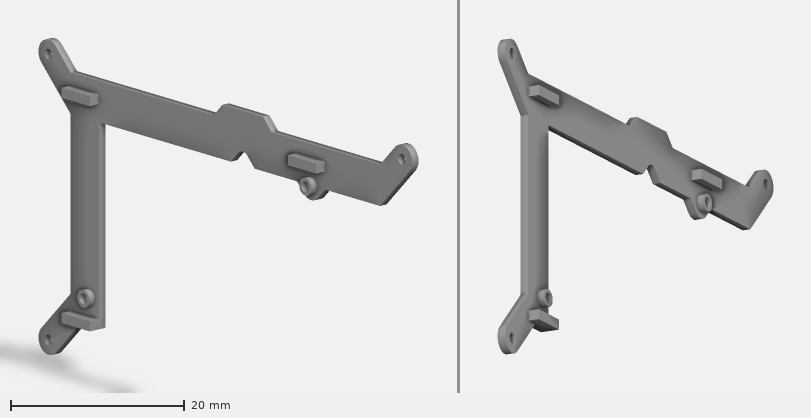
import cadquery as cq
import math


LENGTH_X = 65.39
HEIGHT_Z = 37.69
DEPTH_Y = 2.4
PLATE_THICKNESS = 1.0
LUG_RADIUS = 1.75
LUG_HOLE_DIAMETER = 1.3

HOLE_SPAN_X = LENGTH_X - 2 * LUG_RADIUS
HOLE_SPAN_Z = HEIGHT_Z - 2 * LUG_RADIUS
MOUNTING_HOLES = [(0, 0), (HOLE_SPAN_X, 0), (0, -HOLE_SPAN_Z)]

LUG_TANGENT = LUG_RADIUS / math.sqrt(2)
ARM_HALF_SPAN = LUG_RADIUS * math.sqrt(2)
BAR_TOP = -1.4
BAR_BOTTOM = BAR_TOP - 2 * ARM_HALF_SPAN
COLUMN_LEFT = ARM_HALF_SPAN - BAR_TOP
COLUMN_WIDTH = 4.95
COLUMN_RIGHT = COLUMN_LEFT + COLUMN_WIDTH
COLUMN_BOTTOM = -31.1
BAR_RIGHT = HOLE_SPAN_X - COLUMN_LEFT

STEP_CENTRE_X = 34.0
STEP_TOP_WIDTH = 7.1
STEP_HEIGHT = 1.55
NOTCH_HALF_WIDTH = 2.1
NOTCH_ROUND_RADIUS = 1.15

BOSS_DIAMETER = 2.1
BOSS_HOLE_DIAMETER = 1.28
BOSS_HEIGHT = 0.9
COLUMN_BOSS = (7.1, -27.65)
BAR_BOSS = (45.97, BAR_BOTTOM)

PAD_HEIGHT = DEPTH_Y - PLATE_THICKNESS
PAD_WIDTH = COLUMN_WIDTH
PAD_THICKNESS = 1.2
PAD_TOP = -2.97
RIGHT_PAD_LEFT = 43.5
PAD_CORNERS = [
    (COLUMN_LEFT, PAD_TOP - PAD_THICKNESS),
    (RIGHT_PAD_LEFT, PAD_TOP - PAD_THICKNESS),
    (COLUMN_LEFT, COLUMN_BOTTOM),
]


def front_plane(distance_from_back=0):
    """Workplane facing -Y, so that local x and y are the global X and Z."""
    return cq.Workplane("XZ", origin=(0, -distance_from_back, 0))


def polygon_plate(points):
    return front_plane().polyline(points).close().extrude(PLATE_THICKNESS)


def round_plate(centre):
    return front_plane().center(*centre).circle(LUG_RADIUS).extrude(PLATE_THICKNESS)


def through_hole(centre, diameter):
    return front_plane().center(*centre).circle(diameter / 2).extrude(DEPTH_Y)


def make_bar_and_column():
    step_half_top = STEP_TOP_WIDTH / 2
    step_half_base = step_half_top + STEP_HEIGHT
    step_top = BAR_TOP + STEP_HEIGHT
    return polygon_plate([
        (COLUMN_LEFT, BAR_TOP),
        (STEP_CENTRE_X - step_half_base, BAR_TOP),
        (STEP_CENTRE_X - step_half_top, step_top),
        (STEP_CENTRE_X + step_half_top, step_top),
        (STEP_CENTRE_X + step_half_base, BAR_TOP),
        (BAR_RIGHT, BAR_TOP),
        (BAR_RIGHT, BAR_BOTTOM),
        (COLUMN_RIGHT, BAR_BOTTOM),
        (COLUMN_RIGHT, COLUMN_BOTTOM),
        (COLUMN_LEFT, COLUMN_BOTTOM),
    ])


def make_arm(hole, toward_x, toward_z):
    """Lug around a mounting hole, with its 45 degree arm ending at the vertical edge of the body."""
    x, z = hole
    end_x = x + toward_x * COLUMN_LEFT
    end_z = z + toward_z * COLUMN_LEFT
    arm = polygon_plate([
        (x + toward_x * LUG_TANGENT, z - toward_z * LUG_TANGENT),
        (end_x, end_z - toward_z * ARM_HALF_SPAN),
        (end_x, end_z + toward_z * ARM_HALF_SPAN),
        (x - toward_x * LUG_TANGENT, z + toward_z * LUG_TANGENT),
    ])
    return arm.union(round_plate(hole))


def make_lower_arm_root():
    """Rest of the lower arm, from the column's left edge to where the arm meets its bottom edge."""
    lower_edge_z = COLUMN_LEFT - HOLE_SPAN_Z - ARM_HALF_SPAN
    return polygon_plate([
        (COLUMN_LEFT, lower_edge_z),
        (COLUMN_LEFT + COLUMN_BOTTOM - lower_edge_z, COLUMN_BOTTOM),
        (COLUMN_LEFT, COLUMN_BOTTOM),
    ])


def make_boss_lug():
    """Rounded lug under the bar, with flanks sloping at 45 degrees."""
    x, z = BAR_BOSS
    flanks = polygon_plate([
        (x - ARM_HALF_SPAN, z),
        (x - LUG_TANGENT, z - LUG_TANGENT),
        (x + LUG_TANGENT, z - LUG_TANGENT),
        (x + ARM_HALF_SPAN, z),
    ])
    return flanks.union(round_plate(BAR_BOSS))


def make_notch():
    """45 degree notch in the bottom of the bar with a rounded peak."""
    round_tangent = NOTCH_ROUND_RADIUS / math.sqrt(2)
    round_centre_z = BAR_BOTTOM + NOTCH_HALF_WIDTH - NOTCH_ROUND_RADIUS * math.sqrt(2)
    tangent_z = round_centre_z + round_tangent
    return (
        front_plane()
        .moveTo(STEP_CENTRE_X - NOTCH_HALF_WIDTH, BAR_BOTTOM)
        .lineTo(STEP_CENTRE_X - round_tangent, tangent_z)
        .threePointArc(
            (STEP_CENTRE_X, round_centre_z + NOTCH_ROUND_RADIUS),
            (STEP_CENTRE_X + round_tangent, tangent_z),
        )
        .lineTo(STEP_CENTRE_X + NOTCH_HALF_WIDTH, BAR_BOTTOM)
        .close()
        .extrude(PLATE_THICKNESS)
    )


def make_boss(centre):
    return front_plane(PLATE_THICKNESS).center(*centre).circle(BOSS_DIAMETER / 2).extrude(BOSS_HEIGHT)


def make_pad(corner):
    return (
        front_plane(PLATE_THICKNESS)
        .center(*corner)
        .rect(PAD_WIDTH, PAD_THICKNESS, centered=False)
        .extrude(PAD_HEIGHT)
    )


upper_left, upper_right, lower_left = MOUNTING_HOLES
result = make_bar_and_column()
result = result.union(make_arm(upper_left, 1, -1))
result = result.union(make_arm(upper_right, -1, -1))
result = result.union(make_arm(lower_left, 1, 1))
result = result.union(make_lower_arm_root())
result = result.union(make_boss_lug())
result = result.cut(make_notch())

for pad_corner in PAD_CORNERS:
    result = result.union(make_pad(pad_corner))

for boss_centre in (COLUMN_BOSS, BAR_BOSS):
    result = result.union(make_boss(boss_centre))
    result = result.cut(through_hole(boss_centre, BOSS_HOLE_DIAMETER))

for mounting_hole in MOUNTING_HOLES:
    result = result.cut(through_hole(mounting_hole, LUG_HOLE_DIAMETER))